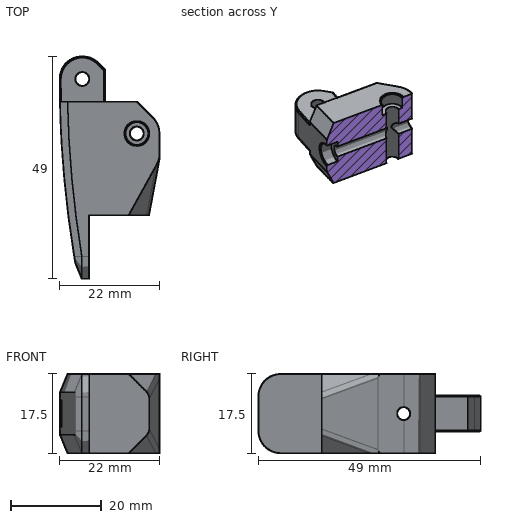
import cadquery as cq
import math

HEIGHT = 17.5
HALF_HEIGHT = HEIGHT / 2

END_RADIUS = 5.0
TAB_HEIGHT = 8.0
TAB_CHAMFER = 0.3
PIN_HOLE_DIAMETER = 3.0

BODY_TOP_Y = -5.0
LUG_HOLE_X = 12.0
LUG_HOLE_Y = -12.0
LUG_RIGHT_X = LUG_HOLE_X + END_RADIUS
TAPER_START_Y = -17.7
LUG_BOTTOM_Y = -30.0
LUG_BOTTOM_X = 14.7
TAIL_INNER_X = 1.5
TAIL_END_Y = -44.0
TAIL_ROUND_Y = TAIL_END_Y + END_RADIUS

DIAGONAL_ANGLE = math.radians(45)
DIAGONAL_SUM = END_RADIUS * math.sqrt(2)
DIAGONAL_STEP = END_RADIUS * math.cos(DIAGONAL_ANGLE)

OUTER_RADIUS = 240.0

BEVEL_HEIGHT = 4.1
BEVEL_SLOPE = math.tan(math.radians(22.5))
BEVEL_DEPTH = BEVEL_HEIGHT * BEVEL_SLOPE
TAIL_CONE_INSET = 4.6

FACET_WIDTH = 4.5
FACET_FILLET = 2.0

LUG_BORE_DIAMETER = 5.0
LUG_BORE_DEPTH = 3.0
SIDE_HOLE_Y = LUG_HOLE_Y
SIDE_HOLE_DIAMETER = 2.8
SIDE_BORE_DIAMETER = 5.5
SIDE_BORE_DEPTH = 3.0
RIM_CHAMFER = 0.25


def outer_x(y):
    """X of the curved outer face at a given Y."""
    return -END_RADIUS + OUTER_RADIUS - math.sqrt(OUTER_RADIUS ** 2 - y ** 2)


def make_body_block():
    """Full-height block: tail tongue, lug and curved outer face, without bevels."""
    mid_y = (BODY_TOP_Y + TAIL_END_Y) / 2
    arc_middle_x = LUG_HOLE_X + END_RADIUS * math.cos(DIAGONAL_ANGLE / 2)
    arc_middle_y = LUG_HOLE_Y + END_RADIUS * math.sin(DIAGONAL_ANGLE / 2)
    return (
        cq.Workplane("XY", origin=(0, 0, -HALF_HEIGHT))
        .moveTo(outer_x(BODY_TOP_Y), BODY_TOP_Y)
        .lineTo(DIAGONAL_SUM - BODY_TOP_Y, BODY_TOP_Y)
        .lineTo(LUG_HOLE_X + DIAGONAL_STEP, LUG_HOLE_Y + DIAGONAL_STEP)
        .threePointArc((arc_middle_x, arc_middle_y), (LUG_RIGHT_X, LUG_HOLE_Y))
        .lineTo(LUG_RIGHT_X, TAPER_START_Y)
        .lineTo(LUG_BOTTOM_X, LUG_BOTTOM_Y)
        .lineTo(TAIL_INNER_X, LUG_BOTTOM_Y)
        .lineTo(TAIL_INNER_X, TAIL_END_Y)
        .lineTo(outer_x(TAIL_END_Y), TAIL_END_Y)
        .threePointArc((outer_x(mid_y), mid_y), (outer_x(BODY_TOP_Y), BODY_TOP_Y))
        .close()
        .extrude(HEIGHT)
    )


def bevel_outline(z, shift):
    """Area outside the curved face, from Y = 0 to the tail rounding, its arc moved along X."""
    mid_y = TAIL_ROUND_Y / 2
    return (
        cq.Workplane("XY", origin=(0, 0, z))
        .moveTo(-2 * END_RADIUS, 0)
        .lineTo(outer_x(0) + shift, 0)
        .threePointArc((outer_x(mid_y) + shift, mid_y), (outer_x(TAIL_ROUND_Y) + shift, TAIL_ROUND_Y))
        .lineTo(-2 * END_RADIUS, TAIL_ROUND_Y)
        .close()
        .wire()
        .val()
    )


def make_side_bevel():
    """Cutter for the bevel along the upper edge of the curved face."""
    inner = bevel_outline(HALF_HEIGHT - BEVEL_HEIGHT, 0)
    return cq.Workplane(cq.Solid.makeLoft([inner, bevel_outline(HALF_HEIGHT, BEVEL_DEPTH)], True))


def tail_wire(x, inset):
    """Tail end seen along X: a tongue with two rounded corners, shrunk by inset."""
    radius = END_RADIUS - inset
    half = HALF_HEIGHT - inset
    end_y = TAIL_END_Y + inset
    diagonal = radius * math.sin(DIAGONAL_ANGLE)
    straight_half = half - radius
    return (
        cq.Workplane("YZ", origin=(x, 0, 0))
        .moveTo(TAIL_ROUND_Y, half)
        .threePointArc((TAIL_ROUND_Y - diagonal, straight_half + diagonal), (end_y, straight_half))
        .lineTo(end_y, -straight_half)
        .threePointArc((TAIL_ROUND_Y - diagonal, -straight_half - diagonal), (TAIL_ROUND_Y, -half))
        .close()
        .wire()
        .val()
    )


def make_tail_trim():
    """Cutter that leaves the tail tip with rounded corners and a conical bevel."""
    rim_x = outer_x(TAIL_ROUND_Y) + BEVEL_DEPTH
    cone_depth = TAIL_CONE_INSET * BEVEL_SLOPE
    rim = tail_wire(rim_x, 0)
    plate = cq.Solid.extrudeLinear(rim, [], cq.Vector(END_RADIUS, 0, 0))
    bevel = cq.Solid.makeLoft([rim, tail_wire(rim_x - cone_depth, TAIL_CONE_INSET)], True)
    tongue = cq.Workplane(plate).union(cq.Workplane(bevel))
    surround = cq.Workplane("XY", origin=(0, TAIL_ROUND_Y - END_RADIUS, 0)).box(
        END_RADIUS, 2 * END_RADIUS, 2 * HEIGHT
    )
    return surround.cut(tongue)


def cut_lug_facets(body):
    """Slanted facets on the two lower lug corners, each blended into the tapered face."""
    reach = LUG_RIGHT_X
    for side in (1, -1):
        apex = cq.Vector(LUG_RIGHT_X, TAPER_START_Y, side * HALF_HEIGHT)
        on_flat = cq.Vector(LUG_BOTTOM_X - FACET_WIDTH, LUG_BOTTOM_Y, side * HALF_HEIGHT)
        on_taper = cq.Vector(LUG_BOTTOM_X, LUG_BOTTOM_Y, side * (HALF_HEIGHT - FACET_WIDTH))
        normal = (on_flat - apex).cross(on_taper - apex) * side
        facet_plane = cq.Plane(origin=on_flat.toTuple(), normal=normal.toTuple())
        body = body.cut(cq.Workplane(facet_plane).rect(2 * reach, 2 * reach).extrude(reach), clean=False)
        ridge_middle = (apex + on_taper) * 0.5
        body = body.edges(cq.NearestToPointSelector(ridge_middle.toTuple())).fillet(FACET_FILLET)
    return body


def make_tab():
    """Hinge ear with a round end, a 45 degree corner and chamfered rims."""
    arc_middle = (
        -END_RADIUS * math.sin(DIAGONAL_ANGLE / 2),
        END_RADIUS * math.cos(DIAGONAL_ANGLE / 2),
    )
    return (
        cq.Workplane("XY", origin=(0, 0, -TAB_HEIGHT / 2))
        .moveTo(-END_RADIUS, 0)
        .threePointArc(arc_middle, (DIAGONAL_STEP, DIAGONAL_STEP))
        .lineTo(END_RADIUS, DIAGONAL_SUM - END_RADIUS)
        .lineTo(END_RADIUS, BODY_TOP_Y)
        .lineTo(outer_x(BODY_TOP_Y), BODY_TOP_Y)
        .threePointArc((outer_x(BODY_TOP_Y / 2), BODY_TOP_Y / 2), (-END_RADIUS, 0))
        .close()
        .extrude(TAB_HEIGHT)
        .faces("|Z")
        .edges("not <Y")
        .chamfer(TAB_CHAMFER)
    )


def make_counterbore(plane, bore_diameter, bore_depth, hole_diameter, hole_depth):
    """Cutter for a stepped hole; the plane normal points into the part."""
    bore = cq.Workplane(plane).circle(bore_diameter / 2).extrude(bore_depth)
    hole = cq.Workplane(plane).circle(hole_diameter / 2).extrude(hole_depth)
    return bore.union(hole)


def chamfer_rim(body, rim_point):
    """Break the edge of a counterbore; rim_point lies on that edge."""
    return body.edges(cq.NearestToPointSelector(rim_point)).chamfer(RIM_CHAMFER)


def cut_lug_hole(body):
    """Vertical screw hole through the lug, counterbored at the upper face."""
    plane = cq.Plane(origin=(LUG_HOLE_X, LUG_HOLE_Y, HALF_HEIGHT), normal=(0, 0, -1))
    cutter = make_counterbore(plane, LUG_BORE_DIAMETER, LUG_BORE_DEPTH, PIN_HOLE_DIAMETER, HEIGHT)
    return chamfer_rim(body.cut(cutter), (LUG_HOLE_X, LUG_HOLE_Y, HALF_HEIGHT))


def cut_side_hole(body):
    """Screw hole along X through the body, counterbored at the curved face."""
    start_x = -END_RADIUS
    plane = cq.Plane(origin=(start_x, SIDE_HOLE_Y, 0), normal=(1, 0, 0))
    length = LUG_RIGHT_X - start_x
    cutter = make_counterbore(plane, SIDE_BORE_DIAMETER, SIDE_BORE_DEPTH, SIDE_HOLE_DIAMETER, length)
    return chamfer_rim(body.cut(cutter), (outer_x(SIDE_HOLE_Y), SIDE_HOLE_Y, 0))


def make_pin_hole():
    """Plain pin hole through the tab."""
    return cq.Workplane("XY").circle(PIN_HOLE_DIAMETER / 2).extrude(TAB_HEIGHT, both=True)


side_bevel = make_side_bevel()
body = make_body_block().cut(side_bevel).cut(side_bevel.mirror("XY"))
body = body.cut(make_tail_trim())
body = cut_lug_facets(body)
body = body.union(make_tab())
body = cut_lug_hole(body)
body = cut_side_hole(body)
result = body.cut(make_pin_hole())